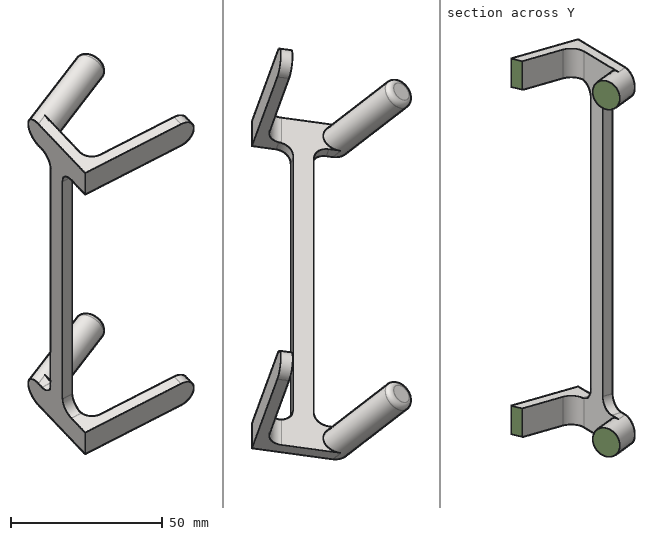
import cadquery as cq
import math

overall_height = 136.7
pin_diameter = 10.5
pin_length = 36.81
pin_tip_fillet = 2.0
tilt = math.radians(25.75)
apex_x = 24.5
arm_length = 43.9
thickness = 4.0
inner_corner_radius = 5.0
web_near_edge = 7.1
web_width = 7.0
web_fillet = 5.0

pin_radius = pin_diameter / 2
pin_z = overall_height / 2 - pin_radius
flange_inner_z = pin_z - pin_radius
plate_length = apex_x / math.cos(tilt)
plate_end_shift = thickness * math.tan(tilt)
web_far_edge = web_near_edge + web_width
tilt_degrees = math.degrees(tilt)
overlap = 1.0



def place(body):
    """Turn a body from the plate frame into its place on the part."""
    return body.rotate((0, 0, 0), (0, 0, 1), -tilt_degrees)


def hook(z):
    """L-shaped bar of plate and arm, filleted inside, with a full round at the free end of the arm."""
    inner_x = plate_length - thickness
    round_center_y = arm_length - pin_radius
    bar = (
        cq.Workplane("XY", origin=(0, 0, z - pin_radius))
        .moveTo(0, 0)
        .lineTo(plate_length, 0)
        .lineTo(plate_length, round_center_y)
        .lineTo(inner_x, round_center_y)
        .lineTo(inner_x, thickness + inner_corner_radius)
        .radiusArc((inner_x - inner_corner_radius, thickness), inner_corner_radius)
        .lineTo(-plate_end_shift, thickness)
        .close()
        .extrude(pin_diameter)
    )
    round_end = (
        cq.Workplane("YZ", origin=(inner_x, round_center_y, z))
        .circle(pin_radius)
        .extrude(thickness)
    )
    return place(bar.union(round_end))


def pin(z):
    """Round pin along Y, rounded at its tip and cut flush with the plate's outer face."""
    base_y = -pin_diameter
    cylinder = (
        cq.Workplane("XZ", origin=(0, base_y, z))
        .circle(pin_radius)
        .extrude(base_y - pin_length)
        .faces(">Y")
        .edges()
        .fillet(pin_tip_fillet)
    )
    cutter_size = 4 * pin_diameter
    cutter = (
        cq.Workplane("XY", origin=(0, -cutter_size / 2, z))
        .box(cutter_size, cutter_size, cutter_size)
    )
    return cylinder.cut(place(cutter))


def web():
    """Upright bar joining the two plates, flared by a fillet at each corner."""
    fillet_z = flange_inner_z - web_fillet
    top_z = flange_inner_z + overlap
    left_flare = web_near_edge - web_fillet
    right_flare = web_far_edge + web_fillet
    bar = (
        cq.Workplane("XZ")
        .moveTo(web_near_edge, -fillet_z)
        .lineTo(web_near_edge, fillet_z)
        .radiusArc((left_flare, flange_inner_z), -web_fillet)
        .lineTo(left_flare, top_z)
        .lineTo(right_flare, top_z)
        .lineTo(right_flare, flange_inner_z)
        .radiusArc((web_far_edge, fillet_z), -web_fillet)
        .lineTo(web_far_edge, -fillet_z)
        .radiusArc((right_flare, -flange_inner_z), -web_fillet)
        .lineTo(right_flare, -top_z)
        .lineTo(left_flare, -top_z)
        .lineTo(left_flare, -flange_inner_z)
        .radiusArc((web_near_edge, -fillet_z), -web_fillet)
        .close()
        .extrude(-thickness)
    )
    return place(bar)


result = web()
for end_z in (-pin_z, pin_z):
    result = result.union(hook(end_z)).union(pin(end_z))